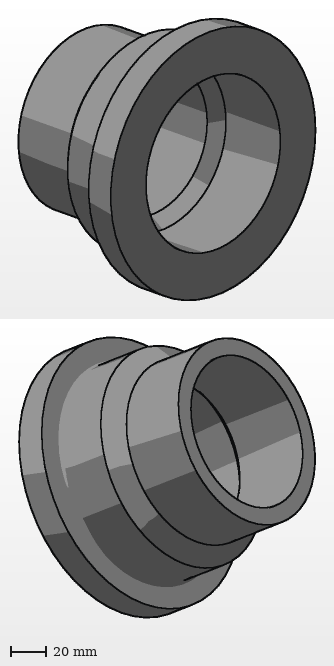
import cadquery as cq

total_length = 102.0
spigot_length = 41.3
cone_end = 51.4
flange_thickness = 18.0
flange_face = total_length - flange_thickness

flange_diameter = 160.0
hub_diameter = 131.0
spigot_diameter = 110.0
bore_diameter = 90.0
hub_bore_diameter = 105.0

root_radius = 2.0

bore_cone_start = 50.0
bore_cone_end = bore_cone_start + (hub_bore_diameter - bore_diameter) / 2

hub_radius = hub_diameter / 2
section = (
    cq.Workplane("XY")
    .moveTo(0, bore_diameter / 2)
    .lineTo(0, spigot_diameter / 2)
    .lineTo(spigot_length, spigot_diameter / 2)
    .lineTo(cone_end, hub_radius)
    .lineTo(flange_face - root_radius, hub_radius)
    .radiusArc((flange_face, hub_radius + root_radius), -root_radius)
    .lineTo(flange_face, flange_diameter / 2)
    .lineTo(total_length, flange_diameter / 2)
    .lineTo(total_length, hub_bore_diameter / 2)
    .lineTo(bore_cone_end, hub_bore_diameter / 2)
    .lineTo(bore_cone_start, bore_diameter / 2)
    .close()
)

result = section.revolve(360, (0, 0, 0), (1, 0, 0))